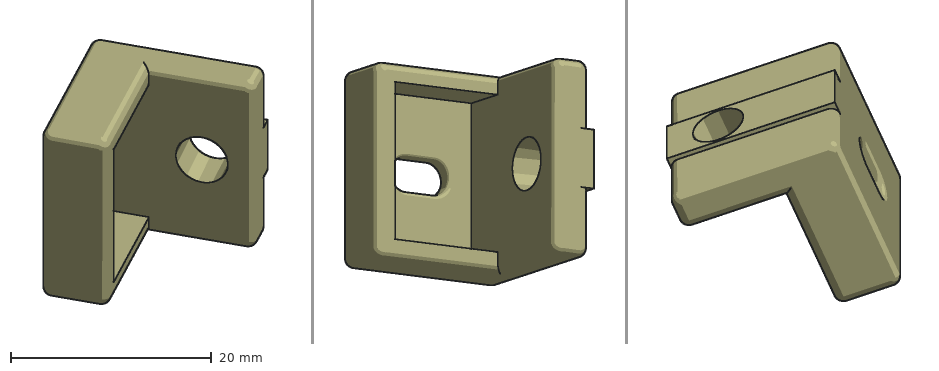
import cadquery as cq

width = 18.0
depth = 18.0
height = 20.0
leg_thickness = 7.0
plate_thickness = 4.0
edge_radius = 1.0

tongue_height = 6.0
tongue_projection = 0.5

hole_diameter = 5.4
hole_x = (leg_thickness + width) / 2

slot_width = 3.5
slot_straight = 3.2
slot_center_y = 8.1
slot_lip_radius = 0.5

recess_wall = 2.0

mid_height = height / 2
plate_front = depth - plate_thickness


def make_body():
    """L-shaped block, rounded on every edge except the inside corner."""
    body = (
        cq.Workplane("XY")
        .polyline([
            (0, 0),
            (leg_thickness, 0),
            (leg_thickness, plate_front),
            (width, plate_front),
            (width, depth),
            (0, depth),
        ])
        .close()
        .extrude(height)
    )
    inside_corner = cq.selectors.NearestToPointSelector((leg_thickness, plate_front, mid_height))
    rounded_edges = cq.selectors.InverseSelector(inside_corner)
    return body.edges(rounded_edges).fillet(edge_radius)


def make_tongue():
    """Full-width square-edged strip, set into the plate past its rounded edges."""
    length = edge_radius + tongue_projection
    return cq.Workplane("XY").box(width, length, tongue_height, centered=(False, False, True)).translate(
        (0, depth - edge_radius, mid_height)
    )


def make_hole():
    return (
        cq.Workplane("XZ", origin=(hole_x, plate_front, mid_height))
        .circle(hole_diameter / 2)
        .extrude(-(plate_thickness + tongue_projection))
    )


def make_recess():
    """Pocket leaving an equal wall at the outer face, front end, top and bottom."""
    return cq.Workplane("XY").box(
        leg_thickness - recess_wall,
        plate_front - recess_wall,
        height - 2 * recess_wall,
        centered=False,
    ).translate((recess_wall, recess_wall, recess_wall))


def cut_slot(part):
    """Cut the slot through the remaining wall and round both of its mouths."""
    slot_length = slot_straight + slot_width
    slot = (
        cq.Workplane("YZ", origin=(0, slot_center_y, mid_height))
        .slot2D(slot_length, slot_width)
        .extrude(recess_wall)
    )
    margin = slot_lip_radius / 2
    near_slot = cq.selectors.BoxSelector(
        (-margin, slot_center_y - slot_length / 2 - margin, mid_height - slot_width / 2 - margin),
        (recess_wall + margin, slot_center_y + slot_length / 2 + margin, mid_height + slot_width / 2 + margin),
    )
    mouth_edges = near_slot - cq.selectors.ParallelDirSelector(cq.Vector(1, 0, 0))
    return part.cut(slot).edges(mouth_edges).fillet(slot_lip_radius)


bracket = make_body().union(make_tongue())
bracket = bracket.cut(make_hole()).cut(make_recess())
result = cut_slot(bracket)